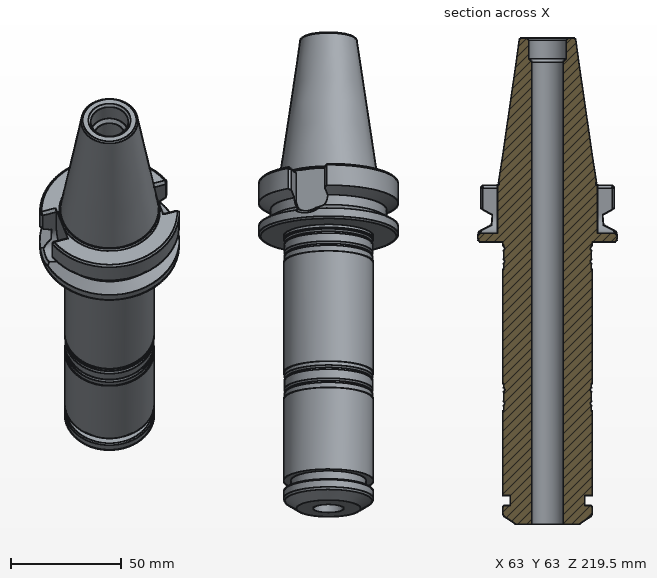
import cadquery as cq
import math

total_height = 219.5
gauge_height = 154.0
flange_top = 153.0
flange_bottom = 127.3

taper_ratio = 7 / 24
gauge_radius = 44.5 / 2
neck_radius = 43.9 / 2
foot_width = 0.9
foot_height = 0.5
tip_radius = gauge_radius - (total_height - gauge_height) * taper_ratio / 2
tip_chamfer = 0.7

flange_radius = 63.0 / 2
flange_chamfer = 0.9
groove_radius = 52.5 / 2
groove_floor_top = 139.5
groove_floor_bottom = 135.0
groove_flank_angle = 30
groove_flank_height = (flange_radius - groove_radius) * math.tan(math.radians(groove_flank_angle))
groove_top = groove_floor_top + groove_flank_height
groove_bottom = groove_floor_bottom - groove_flank_height

body_radius = 40.5 / 2
band_radius = 40.0 / 2
bands = [(115.0, 126.0), (51.1, 63.5)]
v_groove_tops = [125.3, 119.5, 61.7, 55.5]
v_groove_width = 2.0
v_groove_depth = 0.7

undercut_radius = 34.0 / 2
undercut_top = 13.0
collar_top = 8.5
collar_chamfer = 0.7
collar_bottom = 4.5
collar_shoulder_radius = 19.7
collar_shoulder_height = 3.5
nose_radius = 14.5

bore_radius = 13.8 / 2
counterbore_radius = 17.0 / 2
counterbore_depth = 9.5
mouth_chamfer = 1.0

slot_half_width = 8.0
slot_floor = 22.5
slot_arc_center = 139.3
slot_chamfer = 1.3
edge_margin = 0.2


def revolve_about_z(section):
    """Full turn of a closed (radius, height) outline about the Z axis."""
    return cq.Workplane("XZ").polyline(section).close().revolve(360, (0, 0, 0), (0, 1, 0))


def make_blank():
    """Turned outer shape, revolved about Z."""
    half_profile = [
        (0, 0),
        (nose_radius, 0),
        (collar_shoulder_radius, collar_shoulder_height),
        (body_radius, collar_bottom),
        (body_radius, collar_top - collar_chamfer),
        (body_radius - collar_chamfer, collar_top),
        (undercut_radius, collar_top),
        (undercut_radius, undercut_top),
        (body_radius, undercut_top),
        (body_radius, flange_bottom),
        (flange_radius - flange_chamfer, flange_bottom),
        (flange_radius, flange_bottom + flange_chamfer),
        (flange_radius, groove_bottom),
        (groove_radius, groove_floor_bottom),
        (groove_radius, groove_floor_top),
        (flange_radius, groove_top),
        (flange_radius, flange_top - flange_chamfer),
        (flange_radius - flange_chamfer, flange_top),
        (neck_radius + foot_width, flange_top),
        (neck_radius, flange_top + foot_height),
        (neck_radius, gauge_height),
        (gauge_radius, gauge_height),
        (tip_radius + tip_chamfer * taper_ratio / 2, total_height - tip_chamfer),
        (tip_radius - tip_chamfer, total_height),
        (0, total_height),
    ]
    return revolve_about_z(half_profile)


def make_band(bottom, top):
    """Thin sleeve of material removed from the body between two heights."""
    return (
        cq.Workplane("XY", origin=(0, 0, bottom))
        .circle(body_radius)
        .circle(band_radius)
        .extrude(top - bottom)
    )


def make_v_groove(top):
    """Ring of V section whose mouth lies on the band surface."""
    section = [
        (body_radius, top),
        (band_radius, top),
        (band_radius - v_groove_depth, top - v_groove_width / 2),
        (band_radius, top - v_groove_width),
        (body_radius, top - v_groove_width),
    ]
    return revolve_about_z(section)


def make_bore():
    """Through bore with a counterbore, a 45 degree shoulder and a chamfered mouth."""
    shoulder_top = total_height - counterbore_depth
    half_profile = [
        (0, 0),
        (bore_radius, 0),
        (bore_radius, shoulder_top - (counterbore_radius - bore_radius)),
        (counterbore_radius, shoulder_top),
        (counterbore_radius, total_height - mouth_chamfer),
        (counterbore_radius + mouth_chamfer, total_height),
        (0, total_height),
    ]
    return revolve_about_z(half_profile)


def make_slot(side):
    """U-shaped slot on one side of the flange (side is -1 or +1 along Y)."""
    return (
        cq.Workplane("XZ", origin=(0, side * slot_floor, 0))
        .moveTo(-slot_half_width, gauge_height)
        .lineTo(-slot_half_width, slot_arc_center)
        .threePointArc((0, slot_arc_center - slot_half_width), (slot_half_width, slot_arc_center))
        .lineTo(slot_half_width, gauge_height)
        .close()
        .extrude(-side * flange_radius)
    )


def chamfer_slot_mouth(part, side):
    """Bevel the slot edges on the flange faces; those inside the gripper groove stay sharp."""
    near_y = side * (slot_floor + edge_margin)
    far_y = side * (flange_radius + edge_margin)
    half_x = slot_half_width + edge_margin
    upper_edges = cq.selectors.BoxSelector(
        (-half_x, near_y, groove_top),
        (half_x, far_y, flange_top + edge_margin),
    )
    lower_edges = cq.selectors.BoxSelector(
        (-half_x, near_y, flange_bottom + flange_chamfer + edge_margin),
        (half_x, far_y, groove_bottom),
    )
    return part.edges(upper_edges + lower_edges).chamfer(slot_chamfer)


result = make_blank()
for bottom, top in bands:
    result = result.cut(make_band(bottom, top))
for top in v_groove_tops:
    result = result.cut(make_v_groove(top))
result = result.cut(make_bore())
for side in (-1, 1):
    result = result.cut(make_slot(side))
    result = chamfer_slot_mouth(result, side)